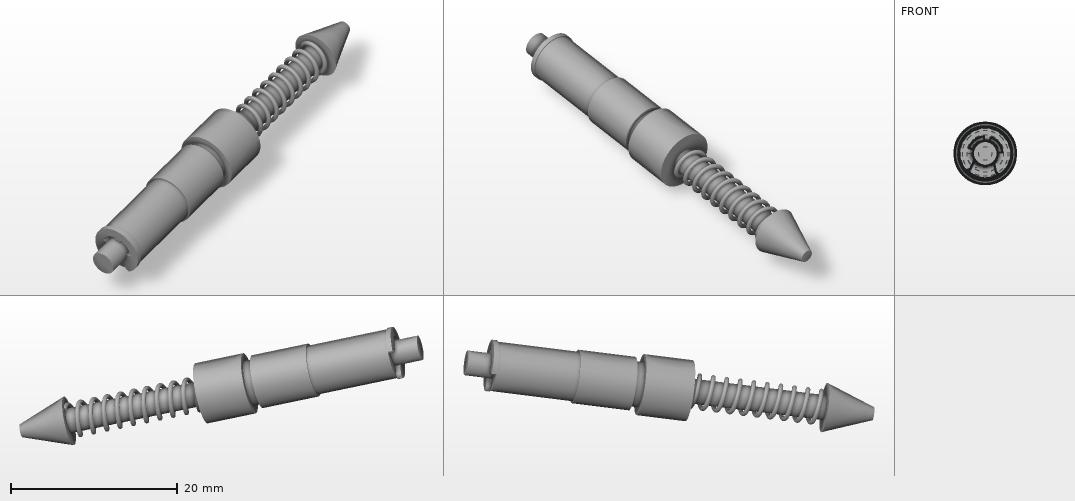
import cadquery as cq
import math

total_length = 50.0
rear_end = -total_length / 2
clip_rear = rear_end + 2.8
clip_thickness = 0.6
barrel_rear = clip_rear + clip_thickness
collar_rear = barrel_rear + 10.0
groove_rear = collar_rear + 7.0
head_rear = groove_rear + 1.0
head_front = head_rear + 6.0
tip_length = 6.0
tip_front = total_length / 2
tip_rear = tip_front - tip_length

rod_diameter = 3.0
barrel_diameter = 6.0
collar_diameter = 6.5
groove_diameter = 5.5
head_diameter = 7.4
tip_base_diameter = 6.0
tip_end_diameter = 1.6

clip_radius = 3.15
clip_turn = 7.0
notch_radius = 2.05
notch_start = 12.0
notch_end = 79.0
mouth_root = (1.15, -0.95)
lug_inner_edge = (1.45, -1.75)
lug_round = (1.65, -2.15)
lug_tip = (2.1, -2.3)
mouth_depth = clip_radius + 0.5

spring_turns = 10
wire_diameter = 0.55
coil_radius = 1.95
spring_length = tip_rear - head_front


def cylinder(rear, front, diameter):
    """Round bar along Y between two stations."""
    bar = cq.Solid.makeCylinder(diameter / 2, front - rear, cq.Vector(0, rear, 0), cq.Vector(0, 1, 0))
    return cq.Workplane(bar)


def polar(radius, degrees_from_up):
    """Point at an angle measured from the clip's own upward axis, toward +X."""
    angle = math.radians(degrees_from_up)
    return (radius * math.sin(angle), radius * math.cos(angle))


def mirrored(point):
    return (-point[0], point[1])


def make_clip():
    """E-shaped clip with an open mouth below and two notches beside the rod."""
    plane = cq.Workplane("XZ", origin=(0, barrel_rear, 0))
    disc = plane.circle(clip_radius).extrude(clip_thickness)
    mouth = (
        plane.moveTo(*mouth_root)
        .lineTo(*lug_inner_edge)
        .threePointArc(lug_round, lug_tip)
        .lineTo(lug_tip[0], -mouth_depth)
        .lineTo(-lug_tip[0], -mouth_depth)
        .lineTo(*mirrored(lug_tip))
        .threePointArc(mirrored(lug_round), mirrored(lug_inner_edge))
        .lineTo(*mirrored(mouth_root))
        .close()
        .extrude(clip_thickness)
    )
    clip = disc.cut(mouth)
    for side in (-1, 1):
        notch = (
            plane.lineTo(*polar(notch_radius, side * notch_start))
            .threePointArc(
                polar(notch_radius, side * (notch_start + notch_end) / 2),
                polar(notch_radius, side * notch_end),
            )
            .close()
            .extrude(clip_thickness)
        )
        clip = clip.cut(notch)
    return clip.rotate((0, 0, 0), (0, 1, 0), clip_turn)


def make_tip():
    """Blunt cone at the front of the rod."""
    cone = cq.Solid.makeCone(
        tip_base_diameter / 2, tip_end_diameter / 2, tip_length,
        cq.Vector(0, tip_rear, 0), cq.Vector(0, 1, 0),
    )
    return cq.Workplane(cone)


def make_plunger():
    """Rod with the stepped barrel, head, clip and cone tip."""
    return (
        cylinder(rear_end, tip_rear, rod_diameter)
        .union(make_clip())
        .union(cylinder(barrel_rear, collar_rear, barrel_diameter))
        .union(cylinder(collar_rear, groove_rear, collar_diameter))
        .union(cylinder(groove_rear, head_rear, groove_diameter))
        .union(cylinder(head_rear, head_front, head_diameter))
        .union(make_tip())
    )


def make_spring():
    """Coil around the rod, its ends trimmed flat against the head and the tip."""
    pitch = spring_length / spring_turns
    path = cq.Wire.makeHelix(pitch, spring_length, coil_radius, lefthand=True)
    coil = (
        cq.Workplane("XZ", origin=(coil_radius, 0, 0))
        .circle(wire_diameter / 2)
        .sweep(cq.Workplane(path), isFrenet=True)
        .rotate((0, 0, 0), (1, 0, 0), 90)
        .rotate((0, 0, 0), (0, 1, 0), 180)
        .translate((0, tip_rear, 0))
    )
    envelope = cylinder(head_front, tip_rear, 2 * (coil_radius + wire_diameter))
    return coil.intersect(envelope)


plunger = make_plunger()
spring = make_spring()

result = cq.Compound.makeCompound([*plunger.solids().vals(), *spring.solids().vals()])